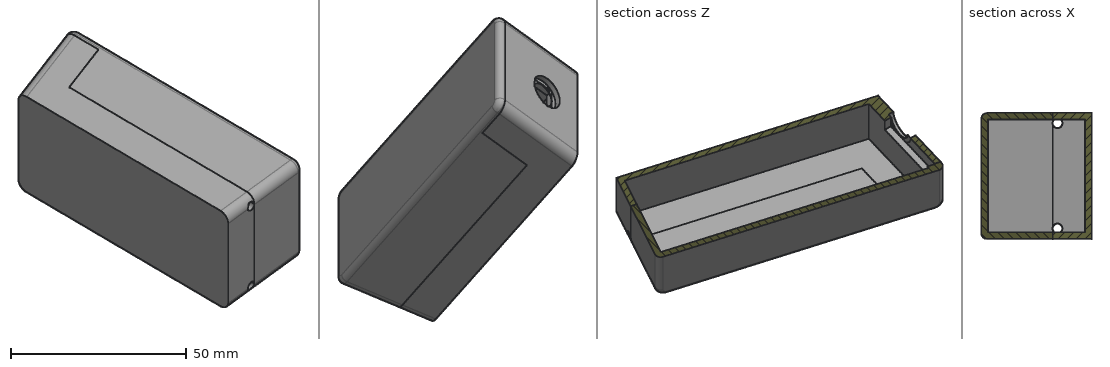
import cadquery as cq
import math

FOOT_LENGTH = 80.38
DEPTH = 31.61
HEIGHT = 36.0
SLANT = math.radians(15)
CORNER_RADIUS = 3.0
TOP_RADIUS = 1.8

WALL = 2.0
FRONT_WALL = 4.0

BASE_WALL_TOP = 11.2
FRONT_ARM_TOP = 29.0
FRONT_ARM_WIDTH = 12.0

OPENING_Y = 12.2
RECESS_DIAMETER = 10.5
RECESS_DEPTH = 1.7
PLUG_DIAMETER = 7.6
SLOT_WIDTH = 8.0
WEB = 0.2

SCREW_DIAMETER = 2.75
SCREW_Y = BASE_WALL_TOP - SCREW_DIAMETER / 2
SCREW_Z = HEIGHT / 2 - CORNER_RADIUS


def slant_x(y, inset=0.0):
    """X of the slanted front plane at a given Y, moved inward by inset."""
    return inset / math.cos(SLANT) - y * math.tan(SLANT)


def prism(points, height):
    """Extrude an XY outline symmetrically about Z = 0."""
    return cq.Workplane("XY").polyline(points).close().extrude(height / 2, both=True)


def slanted_block(y_low, y_high, x_end, inset, height):
    """Block whose front side is parallel to the slanted front face."""
    outline = [
        (slant_x(y_low, inset), y_low),
        (x_end, y_low),
        (x_end, y_high),
        (slant_x(y_high, inset), y_high),
    ]
    return prism(outline, height)


def make_outer():
    """Slanted block with rounded long corners and a rounded rim."""
    outer = slanted_block(0, DEPTH, FOOT_LENGTH, 0, HEIGHT)
    outer = outer.faces("<Z or >Z").edges("not (|X or |Z)").fillet(CORNER_RADIUS)
    return outer.faces(">Y").edges().fillet(TOP_RADIUS)


def make_cavity():
    return slanted_block(WALL, DEPTH - WALL, FOOT_LENGTH - WALL, FRONT_WALL, HEIGHT - 2 * WALL)


def make_base_region():
    """L-shaped region holding the base: low walls plus the slanted front arm."""
    beyond = 2 * CORNER_RADIUS
    low = slanted_block(0, BASE_WALL_TOP, FOOT_LENGTH, -beyond, HEIGHT)
    arm_outline = [
        (slant_x(0, -beyond), 0),
        (slant_x(0, FRONT_ARM_WIDTH), 0),
        (slant_x(FRONT_ARM_TOP, FRONT_ARM_WIDTH), FRONT_ARM_TOP),
        (slant_x(FRONT_ARM_TOP, -beyond), FRONT_ARM_TOP),
    ]
    return low.union(prism(arm_outline, HEIGHT))


def front_plane():
    """Plane on the slanted front face at the opening; normal points into the case, local X toward -Y."""
    return cq.Plane(
        origin=(slant_x(OPENING_Y), OPENING_Y, 0),
        xDir=(math.sin(SLANT), -math.cos(SLANT), 0),
        normal=(math.cos(SLANT), math.sin(SLANT), 0),
    )


def make_connector_cut():
    """Round recess outside, plug hole through the web, and an open-topped slot inside."""
    face = cq.Workplane(front_plane())
    recess = face.circle(RECESS_DIAMETER / 2).extrude(RECESS_DEPTH)
    plug = face.circle(PLUG_DIAMETER / 2).extrude(FRONT_WALL)
    slot_length = SLOT_WIDTH / 2 + (FRONT_ARM_TOP - OPENING_Y) / math.cos(SLANT)
    slot = (
        face.workplane(offset=RECESS_DEPTH + WEB)
        .center((SLOT_WIDTH - slot_length) / 2, 0)
        .rect(slot_length, SLOT_WIDTH)
        .extrude(FRONT_WALL - RECESS_DEPTH - WEB)
    )
    return recess.union(plug).union(slot)


def make_screw_cut():
    return (
        cq.Workplane("YZ", origin=(FOOT_LENGTH - WALL, 0, 0))
        .pushPoints([(SCREW_Y, -SCREW_Z), (SCREW_Y, SCREW_Z)])
        .circle(SCREW_DIAMETER / 2)
        .extrude(WALL)
    )


shell = make_outer().cut(make_cavity())
base_region = make_base_region()
base = shell.intersect(base_region).cut(make_connector_cut()).cut(make_screw_cut())
lid = shell.cut(base_region)

result = cq.Compound.makeCompound([base.solids().val(), lid.solids().val()])